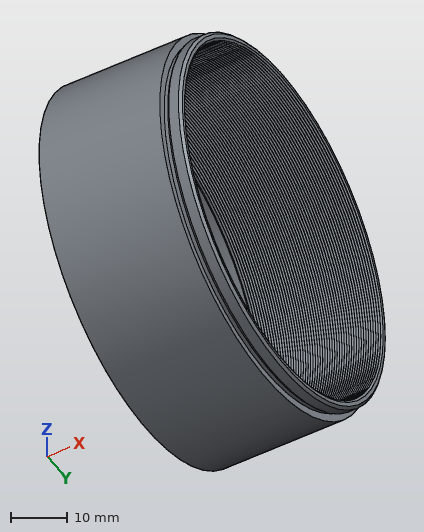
import cadquery as cq
import math

body_diameter = 74.0
body_length = 25.0
total_length = 28.8
thread_diameter = 72.0
neck_diameter = 71.0
neck_length = 0.75
thread_bevel = (thread_diameter - neck_diameter) / 2

socket_mouth_diameter = 72.3
socket_diameter = 71.25
socket_chamfer = (socket_mouth_diameter - socket_diameter) / 2
relief_diameter = socket_mouth_diameter
relief_start = 2.75
socket_depth = 4.0
bore_diameter = 68.6

groove_count = 50
groove_angle = 60.0
front_land = 0.04
groove_pitch = (total_length - socket_depth - front_land) / (groove_count - 0.5)
groove_depth = groove_pitch / 2 / math.tan(math.radians(groove_angle / 2))


def revolve_about_axis(points):
    """Revolve a closed (x, radius) outline about the X axis."""
    outline = cq.Workplane("XY").polyline(points).close()
    return outline.revolve(360, (0, 0, 0), (1, 0, 0))


def make_outside():
    neck_end = body_length + neck_length
    body_radius = body_diameter / 2
    neck_radius = neck_diameter / 2
    thread_radius = thread_diameter / 2
    return revolve_about_axis([
        (0, 0),
        (0, body_radius),
        (body_length, body_radius),
        (body_length, neck_radius),
        (neck_end, neck_radius),
        (neck_end + thread_bevel, thread_radius),
        (total_length - thread_bevel, thread_radius),
        (total_length, neck_radius),
        (total_length, 0),
    ])


def make_inside():
    socket_radius = socket_diameter / 2
    relief_radius = relief_diameter / 2
    bore_radius = bore_diameter / 2
    groove_radius = bore_radius + groove_depth
    points = [
        (0, 0),
        (0, socket_mouth_diameter / 2),
        (socket_chamfer, socket_radius),
        (relief_start, socket_radius),
        (relief_start, relief_radius),
        (socket_depth, relief_radius),
        (socket_depth, bore_radius),
    ]
    for index in range(groove_count):
        groove_start = socket_depth + front_land + index * groove_pitch
        points.append((groove_start, bore_radius))
        points.append((groove_start + groove_pitch / 2, groove_radius))
    points.append((total_length, 0))
    return revolve_about_axis(points)


result = make_outside().cut(make_inside())